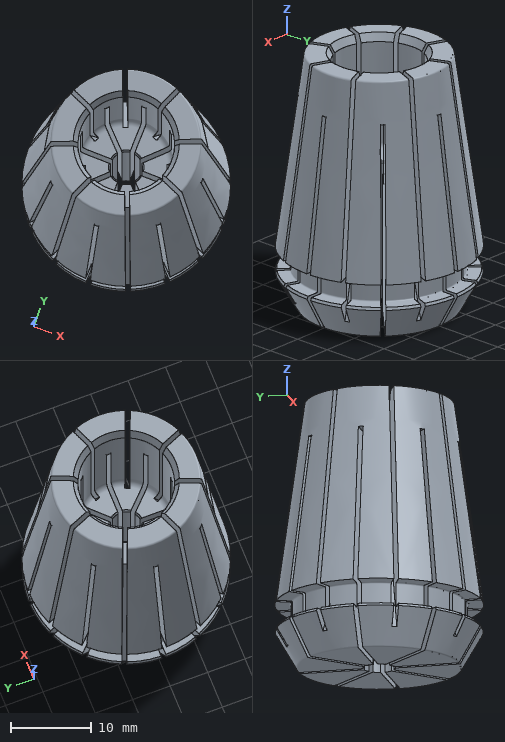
import cadquery as cq
import math

length = 34.0
max_radius = 13.0
edge_round = 0.3

taper_angle = 8.0
taper_base_z = 8.1
top_radius = max_radius - (length - taper_base_z) * math.tan(math.radians(taper_angle))

nose_angle = 30.0
groove_floor_radius = 11.0
groove_base_z = 5.0
groove_round = 0.2

rim_radius = 12.95
rim_chamfer_width = 0.2
rim_chamfer_height = 0.35
rim_z = groove_base_z - rim_chamfer_height
nose_radius = rim_radius - rim_z * math.tan(math.radians(nose_angle))

clamp_bore_radius = 2.0
clamp_length = 18.5
clamp_bore_chamfer = 0.2
relief_bore_radius = 6.0
relief_floor_fillet = 0.8
mouth_radius = 6.6
mouth_angle = 30.0
mouth_depth = (mouth_radius - relief_bore_radius) / math.tan(math.radians(mouth_angle))

slot_count = 8
slot_width = 0.6
slot_pitch = 360.0 / slot_count
lower_slot_top_z = 28.5
upper_slot_outer_z = 2.3
upper_slot_inner_radius = 5.07
slot_overrun = 1.0
slot_reach = max_radius + slot_overrun


def revolve_profile(points):
    """Revolve a closed (radius, z) outline around the Z axis."""
    return cq.Workplane("XZ").polyline(points).close().revolve(360, (0, 0, 0), (0, 1, 0))


def make_nose():
    """Nose cone with a chamfered rim and a rounded lower edge."""
    nose = revolve_profile([
        (0, 0),
        (nose_radius, 0),
        (rim_radius, rim_z),
        (rim_radius - rim_chamfer_width, groove_base_z),
        (0, groove_base_z),
    ])
    return nose.faces("<Z").edges().fillet(edge_round)


def make_taper():
    """Main clamping taper with a rounded upper edge and a sharp base edge."""
    taper = revolve_profile([
        (0, taper_base_z),
        (max_radius, taper_base_z),
        (top_radius, length),
        (0, length),
    ])
    return taper.faces(">Z").edges().fillet(edge_round)


def make_neck():
    """Neck inside the extraction groove, flared by a concave round at both ends."""
    flare_radius = groove_floor_radius + groove_round
    flare_sag = groove_round * (1 - math.sqrt(0.5))
    outline = (
        cq.Workplane("XZ")
        .moveTo(0, groove_base_z)
        .lineTo(flare_radius, groove_base_z)
        .threePointArc(
            (groove_floor_radius + flare_sag, groove_base_z + flare_sag),
            (groove_floor_radius, groove_base_z + groove_round),
        )
        .lineTo(groove_floor_radius, taper_base_z - groove_round)
        .threePointArc(
            (groove_floor_radius + flare_sag, taper_base_z - flare_sag),
            (flare_radius, taper_base_z),
        )
        .lineTo(0, taper_base_z)
        .close()
    )
    return outline.revolve(360, (0, 0, 0), (0, 1, 0))


def make_bore():
    """Clamping bore, wider relief bore with a rounded floor, and conical mouth."""
    chamfer_radius = clamp_bore_radius + clamp_bore_chamfer
    fillet_start = relief_bore_radius - relief_floor_fillet
    fillet_shift = relief_floor_fillet * math.sqrt(0.5)
    fillet_center_z = clamp_length + relief_floor_fillet
    outline = (
        cq.Workplane("XZ")
        .moveTo(0, 0)
        .lineTo(clamp_bore_radius, 0)
        .lineTo(clamp_bore_radius, clamp_length - clamp_bore_chamfer)
        .lineTo(chamfer_radius, clamp_length)
        .lineTo(fillet_start, clamp_length)
        .threePointArc(
            (fillet_start + fillet_shift, fillet_center_z - fillet_shift),
            (relief_bore_radius, fillet_center_z),
        )
        .lineTo(relief_bore_radius, length - mouth_depth)
        .lineTo(mouth_radius, length)
        .lineTo(0, length)
        .close()
    )
    return outline.revolve(360, (0, 0, 0), (0, 1, 0))


def make_slot(points, angle):
    """Radial slot cutter from a (radius, z) outline, turned about Z."""
    blade = cq.Workplane("XZ").polyline(points).close().extrude(slot_width / 2, both=True)
    return blade.rotate((0, 0, 0), (0, 0, 1), angle)


lower_slot = [
    (0, 0),
    (slot_reach, 0),
    (slot_reach, lower_slot_top_z),
    (0, lower_slot_top_z),
]

upper_slot_outer_radius = nose_radius + upper_slot_outer_z * math.tan(math.radians(nose_angle))
floor_slope = (clamp_length - upper_slot_outer_z) / (upper_slot_outer_radius - upper_slot_inner_radius)
floor_end_z = clamp_length - floor_slope * (slot_reach - upper_slot_inner_radius)
upper_slot = [
    (upper_slot_inner_radius, clamp_length),
    (slot_reach, floor_end_z),
    (slot_reach, length),
    (upper_slot_inner_radius, length),
]

collet = make_nose().union(make_neck()).union(make_taper()).cut(make_bore())
for index in range(slot_count):
    collet = collet.cut(make_slot(lower_slot, index * slot_pitch))
    collet = collet.cut(make_slot(upper_slot, (index + 0.5) * slot_pitch))

result = collet